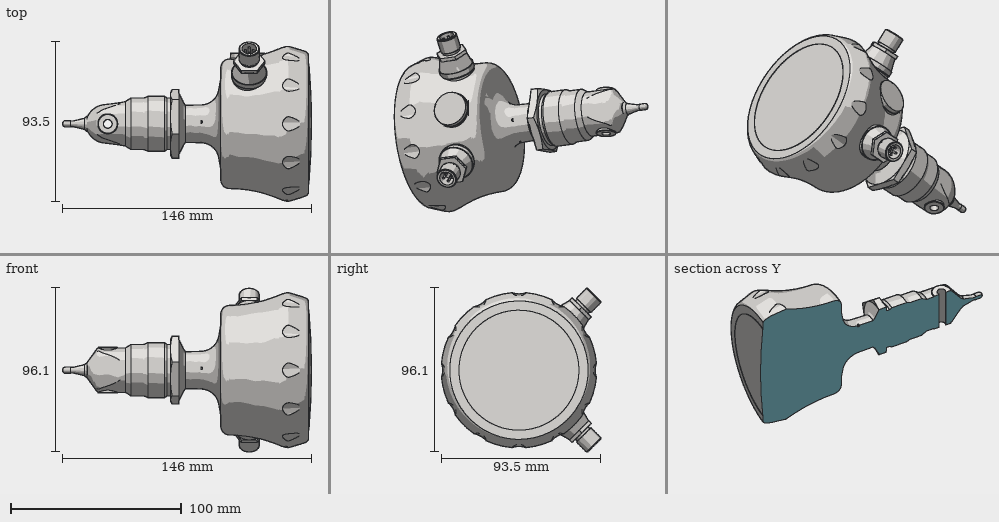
import math

import cadquery as cq

TOTAL_LENGTH = 145.96

TIP_RADIUS = 1.9
TIP_ROUND = 1.6
TIP_END = 4.7
STEM_RADIUS = 1.8
STEM_END = 6.5
STEM_CONE_END = 12.7
STEM_CONE_RADIUS = 3.3

NOSE_START = 14.3
NOSE_RADIUS = 4.5
NOSE_END = 20.5
HEAD_RADIUS = 13.12
HEAD_END = 36.8
SIDE_AXIS_OFFSET = 8.0
SIDE_ARC_RADIUS = 12.2
SIDE_TAPER_ANGLE = 7.8
SIDE_TAPER_START = 24.0
SIDE_TAPER_START_Y = 11.3
SIDE_TAPER_LENGTH = 15.0
HEAD_EDGE_FILLET = 2.0
SELECTION_MARGIN = 0.1

PAD_STATION = 26.45
PAD_BASE_DIAMETER = 11.74
PAD_TOP_DIAMETER = 11.0
PAD_HEIGHT = 13.5
CROSS_HOLE_DIAMETER = 5.0

SHOULDER_START = 40.1
SHOULDER_RADIUS = 15.2
COLLAR_CHAMFER_START = 47.8
COLLAR_START = 50.0
COLLAR_FILLET_SETBACK = 0.45
COLLAR_END = 59.8
COLLAR_RADIUS = 16.2
GROOVE_START = 61.2

NUT_START = 63.1
NUT_FRONT_RADIUS = 17.75
NUT_CHAMFER_END = 64.2
NUT_HEX_END = 68.2
NUT_CONE_RADIUS = 18.0
NUT_END = 71.0
NUT_END_RADIUS = 12.4
NUT_ACROSS_FLATS = 36.0
NUT_TURN = 46.5
NUT_CORNER_RADIUS = NUT_ACROSS_FLATS / math.sqrt(3)

NECK_START = 72.0
NECK_RADIUS = 10.95
TRUMPET_START = 81.1
TRUMPET_START_RADIUS = 11.15
TRUMPET_ARC_RADIUS = 10.5
TRUMPET_END_ANGLE = 80.0
DRAIN_HOLE_DIAMETER = 1.64
DRAIN_HOLE_DEPTH = 1.0
DRAIN_HOLE_TURN = 84.0
DRAIN_HOLE_COUNT = 4

FACE_STATION = 92.65
FACE_INNER_RADIUS = 26.9
FACE_OUTER_RADIUS = 33.2
HOUSING_START = 98.0
HOUSING_RADIUS = 38.1
FLARE_ARC_RADIUS = 72.8
FLARE_END = 127.0

RIM_RADIUS = 45.68
RIM_START = 130.9
RIM_END = 133.2
RIM_EDGE_RADIUS = 45.5
COVER_TAPER_END = 142.0
COVER_TAPER_RADIUS = 42.6
BACK_STATION = 144.2
BACK_RADIUS = 40.6
LENS_RADIUS = 35.2
LENS_STEP = 0.25
SCALLOP_COUNT = 12
SCALLOP_RADIUS = 8.4
SCALLOP_TILT = 7.3
SCALLOP_STATION = 132.5
SCALLOP_FLOOR_RADIUS = 44.4
SCALLOP_LENGTH = 30.0

CONNECTOR_STATION = 109.4
CONNECTOR_ANGLES = (45.0, -45.0)
CONNECTOR_ROOT = 30.0
CONNECTOR_ROOT_DIAMETER = 20.0
CONNECTOR_ROOT_END = 38.8
CONNECTOR_BASE_START = 39.5
CONNECTOR_BASE_END = 42.5
CONNECTOR_BASE_DIAMETER = 20.8
BELL_START_DIAMETER = 20.0
BELL_END = 49.9
BELL_END_DIAMETER = 15.85
CONNECTOR_HEX_END = 52.1
CONNECTOR_HEX_FLATS = 16.0
UNDERCUT_END = 53.7
UNDERCUT_DIAMETER = 10.5
CONNECTOR_END = 62.4
CONNECTOR_DIAMETER = 12.0
CONNECTOR_CHAMFER = 0.45
SOCKET_DIAMETER = 8.4
SOCKET_DEPTH = 8.0
PIN_DIAMETER = 1.2
PIN_CIRCLE_RADIUS = 2.3
PIN_SETBACK = 1.3
PIN_COUNT = 4

PLUG_STATION = 108.4
PLUG_DIAMETER = 20.0
PLUG_TOP = 41.4
PLUG_SEAT_DIAMETER = 20.8
PLUG_SEAT_TOP = 38.7
PLUG_ROOT = 30.0


def turned(profile):
    """Close a profile drawn in the XY plane down to the X axis and revolve it."""
    return profile.close().revolve(360, (0, 0, 0), (1, 0, 0))


def radial_plane(station, angle):
    """Plane on the X axis whose normal points radially, at an angle from +Y towards +Z."""
    turn = math.radians(angle)
    return cq.Plane((station, 0, 0), (1, 0, 0), (0, math.cos(turn), math.sin(turn)))


def probe_tip():
    profile = (
        cq.Workplane("XY")
        .lineTo(0, TIP_RADIUS - TIP_ROUND)
        .radiusArc((TIP_ROUND, TIP_RADIUS), TIP_ROUND)
        .lineTo(TIP_END, TIP_RADIUS)
        .lineTo(TIP_END, STEM_RADIUS)
        .lineTo(STEM_END, STEM_RADIUS)
        .lineTo(STEM_CONE_END, STEM_CONE_RADIUS)
        .lineTo(NOSE_START, NOSE_RADIUS)
        .lineTo(NOSE_END, NOSE_RADIUS)
        .lineTo(NOSE_END, 0)
    )
    return turned(profile)


def head_side():
    """Envelope of one tapered side: an arc and a taper revolved about an axis off centre."""
    taper = math.radians(SIDE_TAPER_ANGLE)
    centre_x = SIDE_TAPER_START + SIDE_ARC_RADIUS * math.sin(taper)
    centre_y = SIDE_TAPER_START_Y - SIDE_ARC_RADIUS * math.cos(taper)
    front_x = centre_x - SIDE_ARC_RADIUS
    middle = (math.pi + math.pi / 2 + taper) / 2
    end_x = SIDE_TAPER_START + SIDE_TAPER_LENGTH
    end_y = SIDE_TAPER_START_Y + SIDE_TAPER_LENGTH * math.tan(taper)
    return (
        cq.Workplane("XY")
        .moveTo(front_x, -SIDE_AXIS_OFFSET)
        .lineTo(front_x, centre_y)
        .threePointArc(
            (centre_x + SIDE_ARC_RADIUS * math.cos(middle), centre_y + SIDE_ARC_RADIUS * math.sin(middle)),
            (SIDE_TAPER_START, SIDE_TAPER_START_Y),
        )
        .lineTo(end_x, end_y)
        .lineTo(end_x, -SIDE_AXIS_OFFSET)
        .close()
        .revolve(360, (0, -SIDE_AXIS_OFFSET, 0), (1, -SIDE_AXIS_OFFSET, 0))
    )


def head():
    profile = (
        cq.Workplane("XY")
        .moveTo(NOSE_START, 0)
        .lineTo(NOSE_START, NOSE_RADIUS)
        .lineTo(NOSE_END, HEAD_RADIUS)
        .lineTo(HEAD_END, HEAD_RADIUS)
        .lineTo(HEAD_END, 0)
    )
    side = head_side()
    body = turned(profile).intersect(side).intersect(side.mirror("XZ"))
    nose_edges = cq.selectors.BoxSelector(
        (NOSE_START + SELECTION_MARGIN, -HEAD_RADIUS, -HEAD_RADIUS),
        (NOSE_END + SELECTION_MARGIN, HEAD_RADIUS, HEAD_RADIUS),
    )
    return body.edges(nose_edges).fillet(HEAD_EDGE_FILLET)


def cross_pads():
    """Pad that runs through the head and stands out, chamfered, at the top and bottom."""
    pad = cq.Workplane("XY", origin=(PAD_STATION, 0, -PAD_HEIGHT))
    pad = pad.circle(PAD_BASE_DIAMETER / 2).extrude(2 * PAD_HEIGHT)
    return pad.faces("<Z or >Z").chamfer((PAD_BASE_DIAMETER - PAD_TOP_DIAMETER) / 2)


def process_connection():
    slope = math.atan2(COLLAR_RADIUS - SHOULDER_RADIUS, COLLAR_START - COLLAR_CHAMFER_START)
    fillet_radius = COLLAR_FILLET_SETBACK / math.tan(slope / 2)
    fillet_end = (
        COLLAR_CHAMFER_START + COLLAR_FILLET_SETBACK * math.cos(slope),
        SHOULDER_RADIUS + COLLAR_FILLET_SETBACK * math.sin(slope),
    )
    profile = (
        cq.Workplane("XY")
        .moveTo(HEAD_END, 0)
        .lineTo(HEAD_END, HEAD_RADIUS)
        .lineTo(SHOULDER_START, SHOULDER_RADIUS)
        .lineTo(COLLAR_CHAMFER_START - COLLAR_FILLET_SETBACK, SHOULDER_RADIUS)
        .radiusArc(fillet_end, -fillet_radius)
        .lineTo(COLLAR_START, COLLAR_RADIUS)
        .lineTo(COLLAR_END, COLLAR_RADIUS)
        .lineTo(GROOVE_START, SHOULDER_RADIUS)
        .lineTo(NUT_START, SHOULDER_RADIUS)
        .lineTo(NUT_START, 0)
    )
    return turned(profile)


def union_nut():
    hexagon = (
        cq.Workplane("YZ", origin=(NUT_START, 0, 0))
        .polygon(6, 2 * NUT_CORNER_RADIUS)
        .extrude(NUT_END - NUT_START)
        .rotate((0, 0, 0), (1, 0, 0), NUT_TURN)
    )
    envelope = (
        cq.Workplane("XY")
        .moveTo(NUT_START, 0)
        .lineTo(NUT_START, NUT_FRONT_RADIUS)
        .lineTo(NUT_CHAMFER_END, NUT_CORNER_RADIUS)
        .lineTo(NUT_HEX_END, NUT_CORNER_RADIUS)
        .lineTo(NUT_HEX_END, NUT_CONE_RADIUS)
        .lineTo(NUT_END, NUT_END_RADIUS)
        .lineTo(NUT_END, 0)
    )
    return hexagon.intersect(turned(envelope))


def housing():
    """Neck, trumpet, flared housing and cover as one turned body."""
    end_angle = math.radians(TRUMPET_END_ANGLE)

    def trumpet_point(angle):
        x = TRUMPET_START + TRUMPET_ARC_RADIUS * math.sin(angle)
        return x, TRUMPET_START_RADIUS + TRUMPET_ARC_RADIUS * (1 - math.cos(angle))

    flare_length = FLARE_END - HOUSING_START
    flare_rise = FLARE_ARC_RADIUS - math.sqrt(FLARE_ARC_RADIUS**2 - flare_length**2)
    profile = (
        cq.Workplane("XY")
        .moveTo(NUT_END, 0)
        .lineTo(NUT_END, NUT_END_RADIUS)
        .lineTo(NECK_START, NECK_RADIUS)
        .lineTo(TRUMPET_START, TRUMPET_START_RADIUS)
        .threePointArc(trumpet_point(end_angle / 2), trumpet_point(end_angle))
        .lineTo(FACE_STATION, FACE_INNER_RADIUS)
        .lineTo(FACE_STATION, FACE_OUTER_RADIUS)
        .radiusArc((HOUSING_START, HOUSING_RADIUS), HOUSING_START - FACE_STATION)
        .radiusArc((FLARE_END, HOUSING_RADIUS + flare_rise), -FLARE_ARC_RADIUS)
        .lineTo(RIM_START, RIM_EDGE_RADIUS)
        .threePointArc(((RIM_START + RIM_END) / 2, RIM_RADIUS), (RIM_END, RIM_EDGE_RADIUS))
        .lineTo(COVER_TAPER_END, COVER_TAPER_RADIUS)
        .tangentArcPoint((BACK_STATION, BACK_RADIUS), relative=False)
        .lineTo(BACK_STATION, LENS_RADIUS)
        .lineTo(BACK_STATION + LENS_STEP, LENS_RADIUS)
    )
    back_sagitta = TOTAL_LENGTH - BACK_STATION - LENS_STEP
    back_dome_radius = (LENS_RADIUS**2 + back_sagitta**2) / (2 * back_sagitta)
    return turned(profile.radiusArc((TOTAL_LENGTH, 0), back_dome_radius))


def connector():
    """Cable connector standing on the part axis along +Z, with the X axis of the part as its X."""
    body = (
        cq.Workplane("XZ")
        .moveTo(0, CONNECTOR_ROOT)
        .lineTo(CONNECTOR_ROOT_DIAMETER / 2, CONNECTOR_ROOT)
        .lineTo(CONNECTOR_ROOT_DIAMETER / 2, CONNECTOR_ROOT_END)
        .lineTo(CONNECTOR_BASE_DIAMETER / 2, CONNECTOR_BASE_START)
        .lineTo(CONNECTOR_BASE_DIAMETER / 2, CONNECTOR_BASE_END)
        .lineTo(BELL_START_DIAMETER / 2, CONNECTOR_BASE_END)
        .lineTo(BELL_END_DIAMETER / 2, BELL_END)
        .lineTo(UNDERCUT_DIAMETER / 2, BELL_END)
        .lineTo(UNDERCUT_DIAMETER / 2, UNDERCUT_END)
        .lineTo(CONNECTOR_DIAMETER / 2, UNDERCUT_END)
        .lineTo(CONNECTOR_DIAMETER / 2, CONNECTOR_END - CONNECTOR_CHAMFER)
        .lineTo(CONNECTOR_DIAMETER / 2 - CONNECTOR_CHAMFER, CONNECTOR_END)
        .lineTo(0, CONNECTOR_END)
        .close()
        .revolve(360, (0, 0, 0), (0, 1, 0))
    )
    hexagon = (
        cq.Workplane("XY", origin=(0, 0, BELL_END))
        .polygon(6, CONNECTOR_HEX_FLATS * 2 / math.sqrt(3))
        .extrude(CONNECTOR_HEX_END - BELL_END)
    )
    socket_floor = CONNECTOR_END - SOCKET_DEPTH
    socket = cq.Workplane("XY", origin=(0, 0, socket_floor)).circle(SOCKET_DIAMETER / 2).extrude(SOCKET_DEPTH)
    pins = (
        cq.Workplane("XY", origin=(0, 0, socket_floor))
        .polarArray(PIN_CIRCLE_RADIUS, 0, 360, PIN_COUNT)
        .circle(PIN_DIAMETER / 2)
        .extrude(SOCKET_DEPTH - PIN_SETBACK)
    )
    return body.union(hexagon).cut(socket.cut(pins))


def placed_connector(angle):
    """Connector moved to its station and turned from +Y towards +Z by the angle."""
    return connector().rotate((0, 0, 0), (1, 0, 0), angle - 90).translate((CONNECTOR_STATION, 0, 0))


def plug():
    base = cq.Workplane(radial_plane(PLUG_STATION, 0)).workplane(offset=PLUG_ROOT)
    seat = base.circle(PLUG_SEAT_DIAMETER / 2).extrude(PLUG_SEAT_TOP - PLUG_ROOT)
    cap = base.circle(PLUG_DIAMETER / 2).extrude(PLUG_TOP - PLUG_ROOT)
    return seat.union(cap)


def scallop(angle):
    """Tilted cylinder that grooves the rim of the cover at the given angle."""
    cutter = (
        cq.Workplane("YZ", origin=(-SCALLOP_LENGTH / 2, 0, 0))
        .circle(SCALLOP_RADIUS)
        .extrude(SCALLOP_LENGTH)
        .rotate((0, 0, 0), (0, 1, 0), SCALLOP_TILT)
        .translate((SCALLOP_STATION, 0, SCALLOP_FLOOR_RADIUS + SCALLOP_RADIUS))
    )
    return cutter.rotate((0, 0, 0), (1, 0, 0), angle)


def drain_hole(angle):
    """Half-round recess that opens where the trumpet begins."""
    radius = DRAIN_HOLE_DIAMETER / 2
    return (
        cq.Workplane(radial_plane(TRUMPET_START, angle))
        .workplane(offset=TRUMPET_START_RADIUS - DRAIN_HOLE_DEPTH)
        .moveTo(0, -radius)
        .threePointArc((radius, 0), (0, radius))
        .close()
        .extrude(2 * DRAIN_HOLE_DEPTH)
    )


result = head().union(probe_tip()).union(cross_pads())
cross_hole = cq.Workplane("XY", origin=(PAD_STATION, 0, 0)).circle(CROSS_HOLE_DIAMETER / 2)
result = result.cut(cross_hole.extrude(PAD_HEIGHT, both=True))
result = result.union(process_connection()).union(union_nut())

body = housing()
for index in range(SCALLOP_COUNT):
    body = body.cut(scallop(index * 360 / SCALLOP_COUNT))
for index in range(DRAIN_HOLE_COUNT):
    body = body.cut(drain_hole(DRAIN_HOLE_TURN + index * 360 / DRAIN_HOLE_COUNT))
for connector_angle in CONNECTOR_ANGLES:
    body = body.union(placed_connector(connector_angle))
body = body.union(plug())

result = result.union(body)